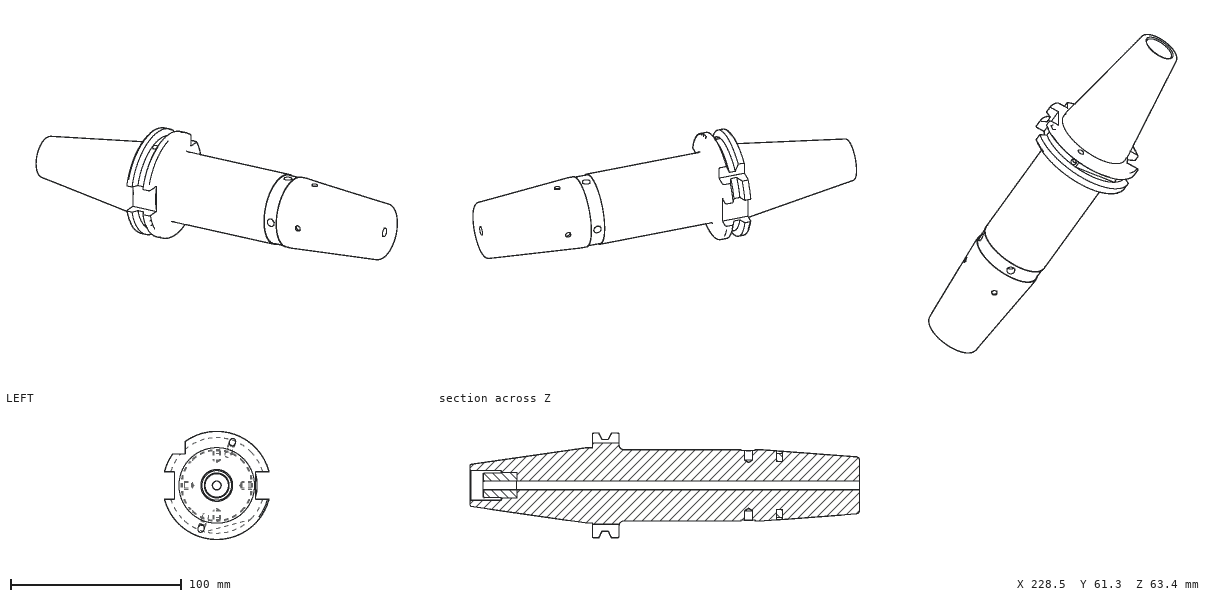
import cadquery as cq
import math

LENGTH = 228.5

TAPER_LENGTH = 68.3
TAPER_END_RADIUS = 12.3
TAPER_END_ROUND = 1.1
GAUGE_RADIUS = 22.2
FLANGE_FRONT = 71.7
FLANGE_BACK = 87.5
FLANGE_RADIUS = 31.7
FLANGE_ROUND = 1.0

GROOVE_CENTRE = 79.3
GROOVE_FLOOR_RADIUS = 28.0
GROOVE_FLOOR_WIDTH = 3.7
GROOVE_MOUTH_WIDTH = 7.3
FLAT_DISTANCE = 24.5
FLAT_TILT = 15.0

SLOT_WIDTH = 16.0
NEAR_SLOT_FLOOR = 22.8
FAR_SLOT_FLOOR = 25.0
NOTCH_OFFSET = 18.5

SHANK_RADIUS = 21.0
SHANK_FILLET = 2.7
NECK_START = 159.0
NECK_END = 167.2
NECK_RADIUS = 20.5
NOSE_START = 170.6
NOSE_RADIUS = 16.7
NOSE_ROUND = 2.0
NOSE_SLOPE = (SHANK_RADIUS - NOSE_RADIUS) / (LENGTH - NOSE_START)

BORE_RADIUS = 8.7
BORE_CHAMFER = 0.7
BORE_DEPTH = 18.3
SLEEVE_RADIUS = 7.3
SLEEVE_CHAMFER = 0.5
SLEEVE_START = 7.8
SLEEVE_END = 27.5
CHANNEL_RADIUS = 2.5

RADIAL_COUNT = 4
BALANCE_HOLE_X = 163.3
BALANCE_HOLE_RADIUS = 2.3
BALANCE_HOLE_DEPTH = 5.7
DRILL_POINT_ANGLE = 118.0
PLUG_X = 181.3
PLUG_RADIUS = 1.5
PLUG_LENGTH = 4.5
PLUG_RECESS = 1.4
PLUG_TOP = SHANK_RADIUS - NOSE_SLOPE * (PLUG_X - NOSE_START) - PLUG_RECESS
PLUG_BOTTOM = PLUG_TOP - PLUG_LENGTH

COOLANT_COUNT = 2
COOLANT_ANGLE = 20.0
COOLANT_PITCH_RADIUS = 27.0
COOLANT_RADIUS = 1.8
COOLANT_SLOPE = 35.0
COOLANT_LENGTH = 13.7
COOLANT_OVERRUN = 2.3
SCREW_RADIUS = 1.5
SCREW_LENGTH = 3.5
SCREW_RECESS = 3.7
SCREW_TOP = GROOVE_FLOOR_RADIUS - SCREW_RECESS
SCREW_BOTTOM = SCREW_TOP - SCREW_LENGTH


def cylinder(start, direction, radius, length):
    """Solid cylinder from a start point along a direction."""
    solid = cq.Solid.makeCylinder(radius, length, cq.Vector(*start), cq.Vector(*direction))
    return cq.Workplane(obj=solid)


def radial_cylinder(x, radius, inner, outer):
    """Cylinder along Z at a given X, between two distances from the holder's axis."""
    return cylinder((x, 0, inner), (0, 0, 1), radius, outer - inner)


def around_axis(body, count, first_angle=0.0):
    """Copies of a body spread evenly about the X axis."""
    step = 360.0 / count
    return [body.rotate((0, 0, 0), (1, 0, 0), first_angle + index * step) for index in range(count)]


def cut_all(body, tools):
    for tool in tools:
        body = body.cut(tool)
    return body


def round_rim(body, x, rim_radius, round_radius):
    """Round the circular edge of a given radius at a given X."""
    tolerance = 0.02
    rim = body.edges("%CIRCLE").filter(
        lambda edge: abs(edge.Center().x - x) < tolerance and abs(edge.radius() - rim_radius) < tolerance
    )
    return rim.fillet(round_radius)


def turned_body():
    half_floor = GROOVE_FLOOR_WIDTH / 2
    half_mouth = GROOVE_MOUTH_WIDTH / 2
    outline = [
        (0, 0),
        (0, TAPER_END_RADIUS),
        (TAPER_LENGTH, GAUGE_RADIUS),
        (FLANGE_FRONT, GAUGE_RADIUS),
        (FLANGE_FRONT, FLANGE_RADIUS),
        (GROOVE_CENTRE - half_mouth, FLANGE_RADIUS),
        (GROOVE_CENTRE - half_floor, GROOVE_FLOOR_RADIUS),
        (GROOVE_CENTRE + half_floor, GROOVE_FLOOR_RADIUS),
        (GROOVE_CENTRE + half_mouth, FLANGE_RADIUS),
        (FLANGE_BACK, FLANGE_RADIUS),
        (FLANGE_BACK, SHANK_RADIUS),
        (NECK_START, SHANK_RADIUS),
        (NECK_START, NECK_RADIUS),
        (NECK_END, NECK_RADIUS),
        (NECK_END, SHANK_RADIUS),
        (NOSE_START, SHANK_RADIUS),
        (LENGTH, NOSE_RADIUS),
        (LENGTH, 0),
    ]
    body = cq.Workplane("XY").polyline(outline).close().revolve(360, (0, 0, 0), (1, 0, 0))
    body = round_rim(body, 0, TAPER_END_RADIUS, TAPER_END_ROUND)
    body = round_rim(body, FLANGE_FRONT, FLANGE_RADIUS, FLANGE_ROUND)
    body = round_rim(body, FLANGE_BACK, FLANGE_RADIUS, FLANGE_ROUND)
    body = round_rim(body, FLANGE_BACK, SHANK_RADIUS, SHANK_FILLET)
    return round_rim(body, LENGTH, NOSE_RADIUS, NOSE_ROUND)


def flange_block(y_start, y_end, z_start, z_end):
    """Box across the full thickness of the flange."""
    size = (FLANGE_BACK - FLANGE_FRONT, y_end - y_start, z_end - z_start)
    return cq.Workplane("XY").box(*size, centered=False).translate((FLANGE_FRONT, y_start, z_start))


def flange_cuts():
    """Two drive slots of different depth and the corner notch."""
    half_width = SLOT_WIDTH / 2
    return [
        flange_block(-FLANGE_RADIUS, -NEAR_SLOT_FLOOR, -half_width, half_width),
        flange_block(FAR_SLOT_FLOOR, FLANGE_RADIUS, -half_width, half_width),
        flange_block(NOTCH_OFFSET, FLANGE_RADIUS, NOTCH_OFFSET, FLANGE_RADIUS),
    ]


def groove_flat():
    """Cutter for the flat in the groove floor, facing -Z and tilted towards -Y."""
    depth = GROOVE_FLOOR_RADIUS - FLAT_DISTANCE
    half_length = math.sqrt(GROOVE_FLOOR_RADIUS**2 - FLAT_DISTANCE**2)
    return (
        cq.Workplane("XY")
        .box(GROOVE_FLOOR_WIDTH, 2 * half_length, depth)
        .translate((GROOVE_CENTRE, 0, -FLAT_DISTANCE - depth / 2))
        .rotate((0, 0, 0), (1, 0, 0), -FLAT_TILT)
    )


def axial_bore():
    """Chamfered bore, sleeve seat and through channel."""
    outline = [
        (0, 0),
        (0, BORE_RADIUS + BORE_CHAMFER),
        (BORE_CHAMFER, BORE_RADIUS),
        (BORE_DEPTH, BORE_RADIUS),
        (BORE_DEPTH, SLEEVE_RADIUS),
        (SLEEVE_END, SLEEVE_RADIUS),
        (SLEEVE_END, CHANNEL_RADIUS),
        (LENGTH, CHANNEL_RADIUS),
        (LENGTH, 0),
    ]
    return cq.Workplane("XY").polyline(outline).close().revolve(360, (0, 0, 0), (1, 0, 0))


def balance_hole():
    """Radial drilled hole with a conical bottom, opening at +Z."""
    bottom = NECK_RADIUS - BALANCE_HOLE_DEPTH
    point = BALANCE_HOLE_RADIUS / math.tan(math.radians(DRILL_POINT_ANGLE / 2))
    outline = [
        (0, bottom - point),
        (BALANCE_HOLE_RADIUS, bottom),
        (BALANCE_HOLE_RADIUS, SHANK_RADIUS),
        (0, SHANK_RADIUS),
    ]
    hole = cq.Workplane("XZ").polyline(outline).close().revolve(360, (0, 0, 0), (0, 1, 0))
    return hole.translate((BALANCE_HOLE_X, 0, 0))


def coolant_channel():
    """Channel from the flange's front face, sloping in towards the axis."""
    slope = math.radians(COOLANT_SLOPE)
    direction = (math.cos(slope), 0, -math.sin(slope))
    start = (
        FLANGE_FRONT - COOLANT_OVERRUN * math.cos(slope),
        0,
        COOLANT_PITCH_RADIUS + COOLANT_OVERRUN * math.sin(slope),
    )
    return cylinder(start, direction, COOLANT_RADIUS, COOLANT_OVERRUN + COOLANT_LENGTH)


def holder():
    plug_hole = radial_cylinder(PLUG_X, PLUG_RADIUS, PLUG_BOTTOM, SHANK_RADIUS)
    screw_hole = radial_cylinder(GROOVE_CENTRE, SCREW_RADIUS, SCREW_BOTTOM, FLANGE_RADIUS)
    body = cut_all(turned_body(), flange_cuts())
    body = body.cut(groove_flat())
    body = body.cut(axial_bore())
    body = cut_all(body, around_axis(balance_hole(), RADIAL_COUNT))
    body = cut_all(body, around_axis(plug_hole, RADIAL_COUNT))
    body = cut_all(body, around_axis(coolant_channel(), COOLANT_COUNT, COOLANT_ANGLE))
    return cut_all(body, around_axis(screw_hole, COOLANT_COUNT, COOLANT_ANGLE))


def sleeve():
    """Sleeve with a chamfered free end, standing in the bore and seated in its floor."""
    return (
        cq.Workplane("YZ")
        .workplane(offset=SLEEVE_START)
        .circle(SLEEVE_RADIUS)
        .extrude(SLEEVE_END - SLEEVE_START)
        .faces("<X")
        .chamfer(SLEEVE_CHAMFER)
        .cut(cylinder((0, 0, 0), (1, 0, 0), CHANNEL_RADIUS, SLEEVE_END))
    )


def nose_plugs():
    plug = radial_cylinder(PLUG_X, PLUG_RADIUS, PLUG_BOTTOM, PLUG_TOP)
    return around_axis(plug, RADIAL_COUNT)


def coolant_screws():
    screw = radial_cylinder(GROOVE_CENTRE, SCREW_RADIUS, SCREW_BOTTOM, SCREW_TOP)
    return around_axis(screw, COOLANT_COUNT, COOLANT_ANGLE)


bodies = [holder(), sleeve(), *nose_plugs(), *coolant_screws()]
result = cq.Compound.makeCompound([body.val() for body in bodies])